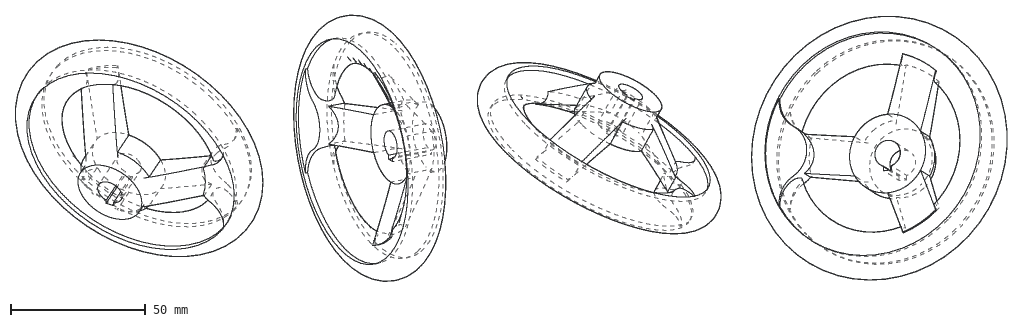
import cadquery as cq
import math


rim_outer_radius = 50.0
rim_round = 7.5
rim_flat_radius = rim_outer_radius - rim_round
recess_depth = 1.9
recess_half_thickness = rim_round - recess_depth
opening_radius = 32.0
bead_radius = 3.8
bead_center_radius = opening_radius + bead_radius

hub_radius = 15.0
nose_radius = 13.1
hub_front_y = -25.5
hub_shoulder_y = -18.9
hub_back_y = -8.9
neck_fillet = 2.5
bore_radius = 5.0
keyway_width = 3.0
keyway_depth = 6.4

spoke_count = 3
spoke_width = 15.0
spoke_front_slope = 1.1
spoke_back_slope = 1.5
spoke_front_radius = 13.7
spoke_front_y = -20.2

boss_center_x = 37.5
boss_radius = 11.2
boss_back_y = 6.5
boss_fillet = 11.2
boss_fillet_edge_x = 37.2


def revolve_about_y(profile):
    return profile.close().revolve(360, (0, 0, 0), (0, 1, 0))


def make_rim():
    reach = rim_flat_radius - bead_center_radius
    corner_distance = math.hypot(reach, recess_half_thickness)
    corner_angle = math.atan2(recess_half_thickness, reach)
    tangent_angle = corner_angle + math.acos(bead_radius / corner_distance)
    tangent_radius = bead_center_radius + bead_radius * math.cos(tangent_angle)
    tangent_y = bead_radius * math.sin(tangent_angle)
    return revolve_about_y(
        cq.Workplane("XY")
        .moveTo(rim_flat_radius, -rim_round)
        .threePointArc((rim_outer_radius, 0), (rim_flat_radius, rim_round))
        .lineTo(rim_flat_radius, recess_half_thickness)
        .lineTo(tangent_radius, tangent_y)
        .threePointArc((opening_radius, 0), (tangent_radius, -tangent_y))
        .lineTo(rim_flat_radius, -recess_half_thickness)
    )


def make_hub():
    diagonal = math.sqrt(0.5)
    neck_radius = nose_radius + neck_fillet * (1 - diagonal)
    neck_y = hub_shoulder_y - (hub_radius - neck_radius)
    nose_y = neck_y - neck_fillet * diagonal
    middle_angle = math.radians(22.5)
    neck_middle = (
        nose_radius + neck_fillet * (1 - math.cos(middle_angle)),
        nose_y + neck_fillet * math.sin(middle_angle),
    )
    return revolve_about_y(
        cq.Workplane("XY")
        .moveTo(0, hub_back_y)
        .lineTo(hub_radius, hub_back_y)
        .lineTo(hub_radius, hub_shoulder_y)
        .lineTo(neck_radius, neck_y)
        .threePointArc(neck_middle, (nose_radius, nose_y))
        .lineTo(nose_radius, hub_front_y)
        .lineTo(0, hub_front_y)
    )


def make_spokes():
    end_radius = bead_center_radius
    front_end_y = spoke_front_y + (end_radius - spoke_front_radius) / spoke_front_slope
    back_end_y = hub_back_y + (end_radius - hub_radius) / spoke_back_slope
    root_radius = (bore_radius + nose_radius) / 2
    shell = revolve_about_y(
        cq.Workplane("XY")
        .moveTo(root_radius, hub_back_y)
        .lineTo(hub_radius, hub_back_y)
        .lineTo(end_radius, back_end_y)
        .lineTo(end_radius, front_end_y)
        .lineTo(spoke_front_radius, spoke_front_y)
        .lineTo(root_radius, spoke_front_y)
    )
    arm = cq.Workplane("XY").box(
        rim_outer_radius, -2 * hub_front_y, spoke_width, centered=(False, True, True)
    )
    arm = shell.intersect(arm)
    spokes = arm
    for index in range(1, spoke_count):
        spokes = spokes.union(arm.rotate((0, 0, 0), (0, 1, 0), index * 360 / spoke_count))
    return spokes


def make_handle_boss():
    fillet_x = boss_fillet_edge_x - boss_fillet
    center_distance = boss_radius + boss_fillet
    fillet_z = math.sqrt(center_distance**2 - (boss_center_x - fillet_x) ** 2)
    share = boss_radius / center_distance
    tangent_x = boss_center_x + share * (fillet_x - boss_center_x)
    tangent_z = share * fillet_z
    middle_angle = math.atan2(tangent_z - fillet_z, tangent_x - fillet_x) / 2
    middle_x = fillet_x + boss_fillet * math.cos(middle_angle)
    middle_z = fillet_z + boss_fillet * math.sin(middle_angle)
    outline_end_z = math.sqrt(rim_flat_radius**2 - boss_fillet_edge_x**2)
    height = boss_back_y + recess_half_thickness
    outline = (
        cq.Workplane("XZ", origin=(0, boss_back_y, 0))
        .moveTo(tangent_x, tangent_z)
        .threePointArc((boss_center_x - boss_radius, 0), (tangent_x, -tangent_z))
        .threePointArc((middle_x, -middle_z), (boss_fillet_edge_x, -fillet_z))
        .lineTo(boss_fillet_edge_x, -outline_end_z)
        .lineTo(rim_outer_radius, -outline_end_z)
        .lineTo(rim_outer_radius, outline_end_z)
        .lineTo(boss_fillet_edge_x, outline_end_z)
        .lineTo(boss_fillet_edge_x, fillet_z)
        .threePointArc((middle_x, middle_z), (tangent_x, tangent_z))
        .close()
        .extrude(height)
    )
    disc = (
        cq.Workplane("XZ", origin=(0, boss_back_y, 0))
        .circle(rim_flat_radius)
        .extrude(height)
    )
    return outline.intersect(disc)


def make_keyed_bore():
    front = cq.Workplane("XZ")
    length = -hub_front_y
    bore = front.circle(bore_radius).extrude(length)
    keyway = front.center(0, -keyway_depth / 2).rect(keyway_width, keyway_depth).extrude(length)
    return bore.union(keyway)


result = (
    make_rim()
    .union(make_spokes())
    .union(make_hub())
    .union(make_handle_boss())
    .cut(make_keyed_bore())
)